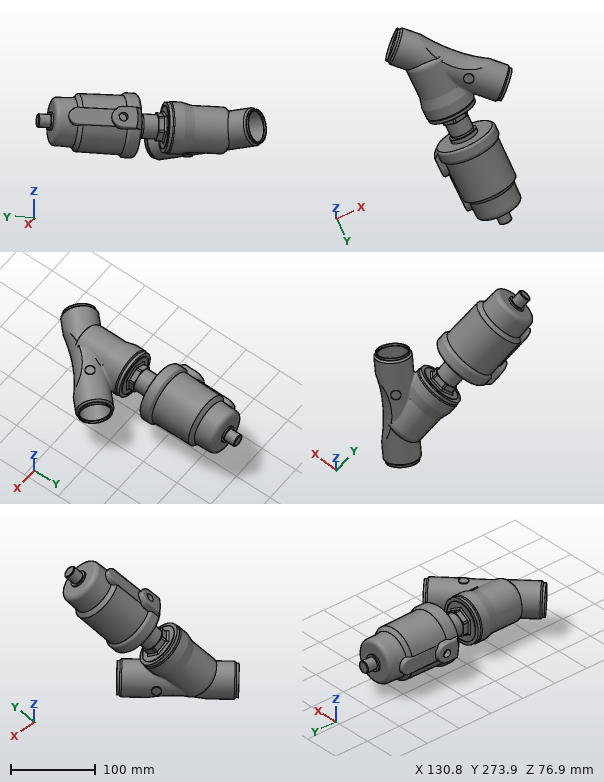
import cadquery as cq
import math


TOUCH_TOLERANCE = 0.001

PIPE_ANGLE = 45.0
PIPE_START = -42.8
PIPE_END = 101.2
PIPE_R = 22.75
LIP_R = 20.5
LIP_LENGTH = 3.0
LIP_CHAMFER = PIPE_R - LIP_R
BORE_R = 18.8
MOUTH_R = 19.3
MOUTH_DEPTH = 3.0

WAIST_START = -17.0
WAIST_END = 74.5
WAIST_OFFSET = 10.0
WAIST_R = 28.8
WAIST_RAMP_END = 8.0
WAIST_RAMP_BACK = 54.0
WAIST_WALL = 4.0
WAIST_CUTTER_R = 45.0

PAD_STATION = 54.3
PAD_R = 6.1
PAD_Z = 23.6

BONNET_BOTTOM = -1.2
BONNET_FILLET = 8.0
BONNET_R = 27.8
BONNET_CONE_START = 44.1
BONNET_CONE_END = 56.7
BONNET_HEAD_R = 31.0
BONNET_HEAD_END = 69.8
BONNET_RIM_R = 30.1
BONNET_RIM_START = 71.4
BONNET_RIM_END = 75.5
BONNET_TOP_R = 25.7
BONNET_TOP = 76.4

WELD_FILLET = 2.5
WELD_START = 12.0

SEAT_Y = 1.7
CHAMBER_R = 20.7
CHAMBER_TOP = 50.0
OUTLET_START = 22.0

HEX_FLATS = 30.7
HEX_CORNER_R = 17.0
HEX_TOP = 85.5
FLARE_HEIGHT = 2.0
FLARE_ANGLE = 45.0
NECK_R = 14.6
NECK_SHOULDER = 103.2
NECK_TOP_R = 14.2
NECK_TOP = 106.0

COLLAR_R = 17.1
FLANGE_BOTTOM = 110.9
FLANGE_R = 38.43
FLANGE_CHAMFER = 2.5
FLANGE_TOP = 124.9
FLANGE_EDGE_FILLET = 2.5
SHELL_FOOT_R = 35.3
SHELL_TOP_R = 34.5
SHELL_TOP = 181.5
CAP_FOOT_R = 29.6
CAP_FOOT = 186.5
CAP_R = 28.8
CAP_TOP = 212.3
CAP_FILLET = 5.5
STEM_COLLAR_R = 10.9
STEM_COLLAR_TOP = 214.4
STEM_R = 8.0
STEM_TOP = 229.1
STEM_CHAMFER = 1.0

RIB_FACE = 35.2
RIB_HALF_WIDTH = 10.4
RIB_ROUND_Y = 187.6
RIB_EDGE_FILLET = 1.2
BRACKET_FACE = 42.0
BRACKET_HALF_WIDTH = 12.9
BRACKET_ROUND_Y = 134.4
BRACKET_EDGE_FILLET = 1.5
BRACKET_HOLE_R = 5.2
BRACKET_HOLE_DEPTH = 7.0
LUG_ROOT = 22.0


def revolve_y(profile):
    """Close a (radius, y) profile and turn it about the Y axis."""
    return profile.close().revolve(360, (0, 0, 0), (0, 1, 0))


def disc(radius, y_low, y_high):
    """Cylinder on the Y axis."""
    return cq.Workplane("XZ", origin=(0, y_low, 0)).circle(radius).extrude(y_low - y_high)


def along_pipe(shape):
    """Turn a shape built along +Y onto the pipe axis."""
    return shape.rotate((0, 0, 0), (0, 0, 1), -PIPE_ANGLE)


def waist_ring(wall):
    """Ring that trims the far side of the pipe, leaving `wall` less radius than the outside."""
    end_r = WAIST_OFFSET + PIPE_R - wall
    mid_r = WAIST_R - wall
    profile = (
        cq.Workplane("XY")
        .moveTo(WAIST_CUTTER_R, WAIST_START)
        .lineTo(end_r, WAIST_START)
        .spline([(mid_r, WAIST_RAMP_END), (mid_r, WAIST_RAMP_BACK), (end_r, WAIST_END)],
                includeCurrent=True)
        .lineTo(WAIST_CUTTER_R, WAIST_END)
    )
    return revolve_y(profile).translate((-WAIST_OFFSET, 0, 0))


def pipe_outside():
    """Pipe with a stepped lip at each end, the narrowed side and two round pads."""
    profile = (
        cq.Workplane("XY")
        .moveTo(0, PIPE_START)
        .lineTo(LIP_R, PIPE_START)
        .lineTo(LIP_R, PIPE_START + LIP_LENGTH)
        .lineTo(PIPE_R, PIPE_START + LIP_LENGTH + LIP_CHAMFER)
        .lineTo(PIPE_R, PIPE_END - LIP_LENGTH - LIP_CHAMFER)
        .lineTo(LIP_R, PIPE_END - LIP_LENGTH)
        .lineTo(LIP_R, PIPE_END)
        .lineTo(0, PIPE_END)
    )
    pads = (
        cq.Workplane("XY", origin=(0, PAD_STATION, -PAD_Z))
        .circle(PAD_R)
        .extrude(2 * PAD_Z)
    )
    return along_pipe(revolve_y(profile).cut(waist_ring(0)).union(pads))


def bonnet_outside():
    fillet_start = BONNET_BOTTOM + BONNET_FILLET
    fillet_inner = BONNET_R - BONNET_FILLET
    fillet_mid = BONNET_FILLET * math.sqrt(0.5)
    profile = (
        cq.Workplane("XY")
        .moveTo(0, BONNET_BOTTOM)
        .lineTo(fillet_inner, BONNET_BOTTOM)
        .threePointArc((fillet_inner + fillet_mid, fillet_start - fillet_mid),
                       (BONNET_R, fillet_start))
        .lineTo(BONNET_R, BONNET_CONE_START)
        .lineTo(BONNET_HEAD_R, BONNET_CONE_END)
        .lineTo(BONNET_HEAD_R, BONNET_HEAD_END)
        .lineTo(BONNET_RIM_R, BONNET_RIM_START)
        .lineTo(BONNET_RIM_R, BONNET_RIM_END)
        .lineTo(BONNET_TOP_R, BONNET_RIM_END)
        .lineTo(BONNET_TOP_R, BONNET_TOP)
        .lineTo(0, BONNET_TOP)
    )
    return revolve_y(profile)


def flow_passage():
    """Inlet bore up to the seat plane, chamber above the seat, and outlet bore."""
    bore = disc(BORE_R, PIPE_START, PIPE_END).cut(waist_ring(WAIST_WALL))
    outlet = along_pipe(bore.intersect(disc(WAIST_CUTTER_R, OUTLET_START, PIPE_END)))
    below_seat = disc(2 * PIPE_END, -PIPE_END, SEAT_Y)
    inlet = along_pipe(bore).intersect(below_seat)
    mouths = along_pipe(
        disc(MOUTH_R, PIPE_START, PIPE_START + MOUTH_DEPTH)
        .union(disc(MOUTH_R, PIPE_END - MOUTH_DEPTH, PIPE_END))
    )
    chamber = disc(CHAMBER_R, SEAT_Y, CHAMBER_TOP)
    return inlet.union(chamber).union(outlet).union(mouths)


def is_on_skin(point, solid):
    """True when the point lies on the outer skin of the solid."""
    skin = solid.val().Shells()[0]
    return skin.distance(cq.Vertex.makeVertex(*point.toTuple())) < TOUCH_TOLERANCE


def make_valve_body():
    bonnet = bonnet_outside()
    pipe = pipe_outside()

    def is_weld_edge(edge):
        middle = edge.positionAt(0.5)
        return middle.y > WELD_START and is_on_skin(middle, bonnet) and is_on_skin(middle, pipe)

    weld_edges = bonnet.union(pipe).edges().filter(is_weld_edge)
    return weld_edges.fillet(WELD_FILLET).cut(flow_passage())


def hex_sketch(flats):
    """Hexagon on the bonnet top with two flats facing along X."""
    return (
        cq.Workplane("XZ", origin=(0, BONNET_TOP, 0))
        .transformed(rotate=(0, 0, 90))
        .polygon(6, flats / math.cos(math.pi / 6))
    )


def make_neck():
    hexagon = (
        hex_sketch(HEX_FLATS)
        .extrude(BONNET_TOP - HEX_TOP)
        .intersect(disc(HEX_CORNER_R, BONNET_TOP, HEX_TOP))
    )
    flare_spread = FLARE_HEIGHT * math.tan(math.radians(FLARE_ANGLE))
    flare = hex_sketch(HEX_FLATS + 2 * flare_spread).extrude(-FLARE_HEIGHT, taper=FLARE_ANGLE)
    tube = disc(NECK_R, BONNET_TOP, NECK_SHOULDER).union(disc(NECK_TOP_R, NECK_SHOULDER, NECK_TOP))
    return tube.union(hexagon).union(flare)


def is_flange_edge(edge):
    return edge.geomType() == "CIRCLE" and math.isclose(edge.radius(), FLANGE_R, abs_tol=TOUCH_TOLERANCE)


def actuator_shell():
    shell_shoulder = FLANGE_TOP + FLANGE_R - SHELL_FOOT_R
    cap_mid = CAP_FILLET * math.sqrt(0.5)
    profile = (
        cq.Workplane("XY")
        .moveTo(0, NECK_TOP)
        .lineTo(COLLAR_R, NECK_TOP)
        .lineTo(COLLAR_R, FLANGE_BOTTOM)
        .lineTo(FLANGE_R - FLANGE_CHAMFER, FLANGE_BOTTOM)
        .lineTo(FLANGE_R, FLANGE_BOTTOM + FLANGE_CHAMFER)
        .lineTo(FLANGE_R, FLANGE_TOP)
        .lineTo(SHELL_FOOT_R, shell_shoulder)
        .lineTo(SHELL_TOP_R, SHELL_TOP)
        .lineTo(CAP_FOOT_R, CAP_FOOT)
        .lineTo(CAP_R, CAP_TOP - CAP_FILLET)
        .threePointArc((CAP_R - CAP_FILLET + cap_mid, CAP_TOP - CAP_FILLET + cap_mid),
                       (CAP_R - CAP_FILLET, CAP_TOP))
        .lineTo(STEM_COLLAR_R, CAP_TOP)
        .lineTo(STEM_COLLAR_R, STEM_COLLAR_TOP)
        .lineTo(STEM_R, STEM_COLLAR_TOP)
        .lineTo(STEM_R, STEM_TOP - STEM_CHAMFER)
        .lineTo(STEM_R - STEM_CHAMFER, STEM_TOP)
        .lineTo(0, STEM_TOP)
    )
    shell = revolve_y(profile)
    flange_edges = shell.edges().filter(is_flange_edge)
    return flange_edges.fillet(FLANGE_EDGE_FILLET)


def round_ended_lug(face, half_width, foot_y, round_y, edge_fillet):
    """Lug on the -X side with a round upper end and a filleted outer edge."""
    lug = (
        cq.Workplane("YZ", origin=(-face, 0, 0))
        .moveTo(foot_y, -half_width)
        .lineTo(round_y, -half_width)
        .threePointArc((round_y + half_width, 0), (round_y, half_width))
        .lineTo(foot_y, half_width)
        .close()
        .extrude(face - LUG_ROOT)
    )
    return lug.faces("<X").edges("not <Y").fillet(edge_fillet)


def bracket():
    """Bracket whose foot follows the flange chamfer cone outwards."""
    cone_foot_r = FLANGE_R - FLANGE_CHAMFER
    cone_height = BRACKET_FACE
    envelope = revolve_y(
        cq.Workplane("XY")
        .moveTo(0, FLANGE_BOTTOM)
        .lineTo(cone_foot_r, FLANGE_BOTTOM)
        .lineTo(cone_foot_r + cone_height, FLANGE_BOTTOM + cone_height)
        .lineTo(0, FLANGE_BOTTOM + cone_height)
    )
    lug = round_ended_lug(
        BRACKET_FACE, BRACKET_HALF_WIDTH, FLANGE_BOTTOM, BRACKET_ROUND_Y, BRACKET_EDGE_FILLET
    )
    return lug.intersect(envelope)


def make_actuator():
    rib = round_ended_lug(RIB_FACE, RIB_HALF_WIDTH, FLANGE_TOP, RIB_ROUND_Y, RIB_EDGE_FILLET)
    hole = (
        cq.Workplane("YZ", origin=(-BRACKET_FACE, BRACKET_ROUND_Y, 0))
        .circle(BRACKET_HOLE_R)
        .extrude(BRACKET_HOLE_DEPTH)
    )
    return actuator_shell().union(rib).union(bracket()).cut(hole)


valve_body = make_valve_body().solids()
neck = make_neck().solids()
actuator = make_actuator().solids()

result = cq.Compound.makeCompound([valve_body.val(), neck.val(), actuator.val()])